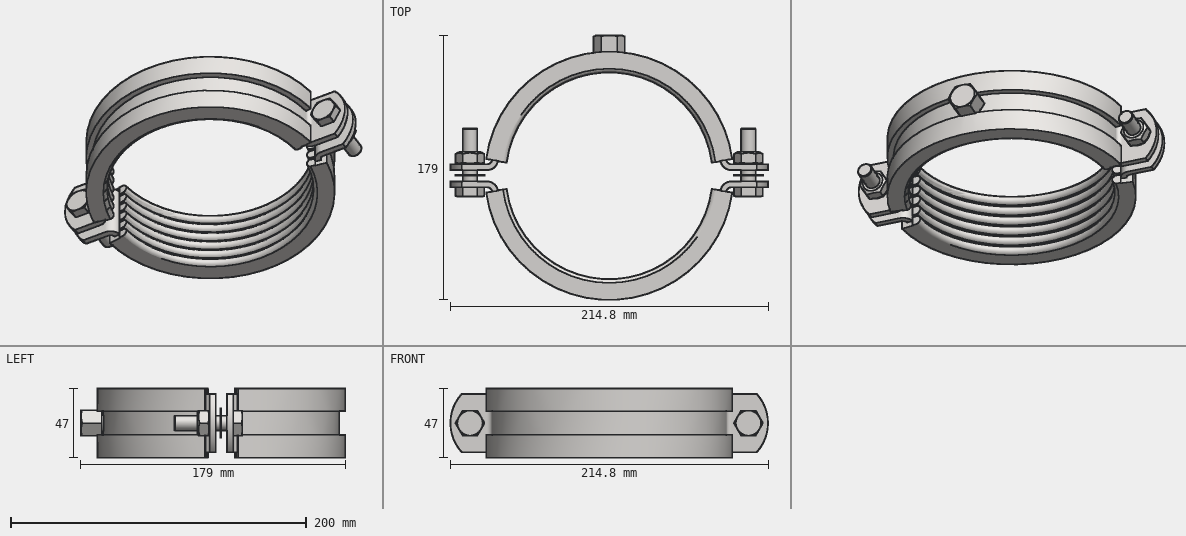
import cadquery as cq
import math


clamp_height = 47.0
lining_outer_radius = 84.0
lining_inner_radius = 72.4
lining_end_angle = 7.7
band_outer_radius = 80.0
band_thickness = 4.0
band_height = 39.5
groove_height = 16.1

rib_count = 6
rib_width = 6.7
rib_tip_radius = 69.8
rib_end_angle = 7.3

overall_length = 214.8
tab_gap = 7.5
tab_bend_radius = 3.5
tab_end_bulge = 7.7

bolt_offset = 94.0
bolt_diameter = 10.0
bolt_tip_diameter = 9.2
bolt_tip = 32.0
bolt_chamfer = 0.6
bolt_across_flats = 17.0
head_height = 6.2
nut_height = 8.4
nut_top_diameter = 14.2
nut_top_chamfer = 1.5
nut_seat_height = 0.6
nut_base_chamfer = 0.5
head_chamfer = 0.5
washer_diameter = 20.0
washer_thickness = 0.6
washer_position = 0.5

hub_width = 21.3
hub_across_flats = 17.5
hub_chamfer = 0.9
hub_base = 80.8
hub_top = 95.0
hub_seat_diameter = 15.5

tab_inner_face = tab_gap / 2
tab_outer_face = tab_inner_face + band_thickness
band_inner_radius = band_outer_radius - band_thickness


def sweep_half_ring(profile, end_angle):
    """Revolve a radius-height profile around Z, stopping short of the split plane at both ends."""
    ring = profile.revolve(180 - 2 * end_angle, (0, 0, 0), (0, 1, 0))
    return ring.rotate((0, 0, 0), (0, 0, 1), end_angle)


def y_cylinder(x, diameter, y_start, y_end):
    """Round bar parallel to Y."""
    base = cq.Workplane("XZ", origin=(x, y_start, 0))
    return base.circle(diameter / 2).extrude(y_start - y_end)


def y_revolve(x, points):
    """Solid of revolution about a line parallel to Y, from (radius, y) points."""
    axis_points = [(0, points[0][1])] + points + [(0, points[-1][1])]
    outline = cq.Workplane("XY", origin=(x, 0, 0)).polyline(axis_points).close()
    return outline.revolve(360, (0, 0, 0), (0, 1, 0))


def y_hexagon(x, width, across_flats, y_start, y_end):
    """Hexagon bar parallel to Y with two corners on X."""
    corners = [
        (width / 2, 0),
        (width / 4, across_flats / 2),
        (-width / 4, across_flats / 2),
        (-width / 2, 0),
        (-width / 4, -across_flats / 2),
        (width / 4, -across_flats / 2),
    ]
    base = cq.Workplane("XZ", origin=(x, y_start, 0))
    return base.polyline(corners).close().extrude(y_start - y_end)


def make_lining():
    """Half ring holding the band, with a groove around the middle of its outside."""
    groove_depth = lining_outer_radius - band_outer_radius
    lining = sweep_half_ring(
        cq.Workplane("XZ")
        .moveTo(lining_inner_radius, -clamp_height / 2)
        .hLineTo(lining_outer_radius)
        .vLineTo(-groove_height / 2)
        .hLine(-groove_depth)
        .vLine(groove_height)
        .hLine(groove_depth)
        .vLineTo(clamp_height / 2)
        .hLineTo(lining_inner_radius)
        .close(),
        lining_end_angle,
    )
    rib_pitch = (clamp_height - rib_width) / (rib_count - 1)
    for index in range(rib_count):
        bottom = -clamp_height / 2 + index * rib_pitch
        rib = sweep_half_ring(
            cq.Workplane("XZ")
            .moveTo(band_inner_radius, bottom)
            .hLineTo(lining_inner_radius)
            .threePointArc(
                (rib_tip_radius, bottom + rib_width / 2),
                (lining_inner_radius, bottom + rib_width),
            )
            .hLineTo(band_inner_radius)
            .close(),
            rib_end_angle,
        )
        lining = lining.union(rib)
    return lining


def make_tab():
    """Flat ear on the +X side, joined to the band by a bend tangent to both."""
    bend_y = tab_outer_face + tab_bend_radius
    bend_distance = band_outer_radius + tab_bend_radius
    bend_angle = math.asin(bend_y / bend_distance)
    bend_x = bend_distance * math.cos(bend_angle)
    outer_bend_radius = tab_bend_radius + band_thickness
    middle_angle = (math.pi + bend_angle + 1.5 * math.pi) / 2

    def band_point(radius):
        return (radius * math.cos(bend_angle), radius * math.sin(bend_angle))

    def bend_middle(radius):
        return (bend_x + radius * math.cos(middle_angle), bend_y + radius * math.sin(middle_angle))

    tip = overall_length / 2
    bent_strip = (
        cq.Workplane("XY", origin=(0, 0, -band_height / 2))
        .moveTo(tip, tab_inner_face)
        .lineTo(bend_x, tab_inner_face)
        .threePointArc(bend_middle(outer_bend_radius), band_point(band_inner_radius))
        .lineTo(*band_point(band_outer_radius))
        .threePointArc(bend_middle(tab_bend_radius), (bend_x, tab_outer_face))
        .lineTo(tip, tab_outer_face)
        .close()
        .extrude(band_height)
    )
    end_outline = (
        cq.Workplane("XZ")
        .moveTo(0, -band_height / 2)
        .hLineTo(tip - tab_end_bulge)
        .threePointArc((tip, 0), (tip - tab_end_bulge, band_height / 2))
        .hLineTo(0)
        .close()
        .extrude(-lining_outer_radius)
    )
    return bent_strip.intersect(end_outline)


def make_clamp_half():
    """Back half: lining with ribs, band and a tab at each end."""
    band_middle_radius = band_outer_radius - band_thickness / 2
    band = sweep_half_ring(
        cq.Workplane("XZ").moveTo(band_middle_radius, 0).rect(band_thickness, band_height),
        lining_end_angle,
    )
    tab = make_tab()
    return make_lining().union(band).union(tab).union(tab.mirror("YZ"))


def make_bolt(x):
    """Bolt through a pair of tabs, with its nut and the thin washer between the tabs."""
    head_bottom = -tab_outer_face - head_height
    nut_base = tab_outer_face + nut_seat_height
    nut_top = tab_outer_face + nut_height
    bolt_width = bolt_across_flats / math.cos(math.pi / 6)
    flat_radius = bolt_across_flats / 2
    corner_radius = bolt_width / 2

    shank = y_revolve(x, [
        (bolt_diameter / 2, head_bottom),
        (bolt_diameter / 2, bolt_tip - bolt_chamfer),
        (bolt_tip_diameter / 2, bolt_tip),
    ])
    head_envelope = y_revolve(x, [
        (flat_radius, head_bottom),
        (corner_radius, head_bottom + head_chamfer),
        (corner_radius, -tab_outer_face),
    ])
    nut_envelope = y_revolve(x, [
        (flat_radius, tab_outer_face),
        (flat_radius, nut_base),
        (corner_radius, nut_base + nut_base_chamfer),
        (corner_radius, nut_top - nut_top_chamfer),
        (nut_top_diameter / 2, nut_top),
    ])
    head = y_hexagon(x, bolt_width, bolt_across_flats, head_bottom, -tab_outer_face).intersect(head_envelope)
    nut = y_hexagon(x, bolt_width, bolt_across_flats, tab_outer_face, nut_top).intersect(nut_envelope)
    washer_bottom = washer_position - washer_thickness / 2
    washer = y_cylinder(x, washer_diameter, washer_bottom, washer_bottom + washer_thickness)
    return shank.union(head).union(nut).union(washer)


def make_hub():
    """Connection nut standing on the band at the back, its top corners turned off conically."""
    seat = y_cylinder(0, hub_seat_diameter, band_inner_radius, hub_base)
    envelope = y_revolve(0, [
        (hub_width / 2, hub_base),
        (hub_width / 2, hub_top - hub_chamfer),
        (hub_across_flats / 2, hub_top),
    ])
    return seat.union(y_hexagon(0, hub_width, hub_across_flats, hub_base, hub_top).intersect(envelope))


back_half = make_clamp_half()
result = back_half.union(back_half.mirror("XZ")).union(make_hub())
for side in (-1, 1):
    result = result.union(make_bolt(side * bolt_offset))